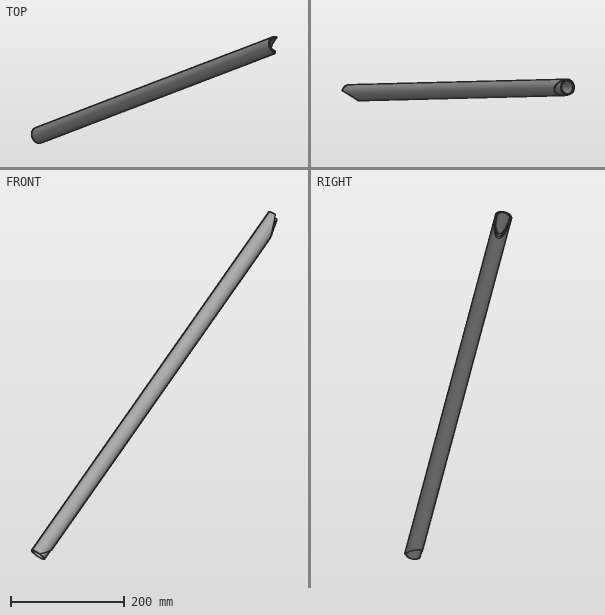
import cadquery as cq
import math

RUN_X = 0.701
RUN_Y = 0.268
SQUARE_LENGTH = 746.7

OUTER_RADIUS = 14.8
LAYER_THICKNESS = 1.2

COPE_RADIUS = 38.8
COPE_TURN = math.radians(15.3)
COPE_PITCH = math.radians(-64.9)
COPE_SIDE_SHIFT = -18.1
COPE_STATION = SQUARE_LENGTH + 77.9
COPE_LENGTH = 400.0

TRIM_NORMAL = (-0.22, -0.13, 1.0)
TRIM_STATION = 4.5
TRIM_SIZE = 100.0

along_tube = cq.Vector(RUN_X, RUN_Y, 1.0).normalized()
across_tube = cq.Vector(along_tube.z, 0, -along_tube.x)
tube_plane = cq.Plane(origin=(0, 0, 0), xDir=across_tube, normal=along_tube)


def cope_cutter():
    """Cylinder, oblique to the tube, that leaves the fish-mouth at the upper end."""
    axis = cq.Vector(
        math.cos(COPE_TURN) * math.cos(COPE_PITCH),
        math.sin(COPE_TURN) * math.cos(COPE_PITCH),
        math.sin(COPE_PITCH),
    )
    centre = cq.Vector(
        -math.sin(COPE_TURN) * COPE_SIDE_SHIFT,
        math.cos(COPE_TURN) * COPE_SIDE_SHIFT,
        COPE_STATION,
    )
    start = centre - axis * (COPE_LENGTH / 2)
    cylinder = cq.Solid.makeCylinder(COPE_RADIUS, COPE_LENGTH, start, axis)
    return cylinder.moved(cq.Location(tube_plane))


def coped_tube(outer_radius):
    """One layer of the wall, square at the lower end and coped at the upper end."""
    tube = (
        cq.Workplane(tube_plane)
        .circle(outer_radius)
        .circle(outer_radius - LAYER_THICKNESS)
        .extrude(SQUARE_LENGTH)
    )
    return tube.cut(cq.Workplane(cope_cutter()))


def trim_cutter():
    """Block below the slanting plane at the lower end."""
    trim_plane = cq.Plane(origin=along_tube * TRIM_STATION, normal=TRIM_NORMAL)
    return cq.Workplane(trim_plane).rect(TRIM_SIZE, TRIM_SIZE).extrude(-TRIM_SIZE)


outer_tube = coped_tube(OUTER_RADIUS).cut(trim_cutter())

middle_tube = coped_tube(OUTER_RADIUS - LAYER_THICKNESS)
inner_tube = coped_tube(OUTER_RADIUS - 2 * LAYER_THICKNESS)

result = cq.Compound.makeCompound([outer_tube.val(), middle_tube.val(), inner_tube.val()])